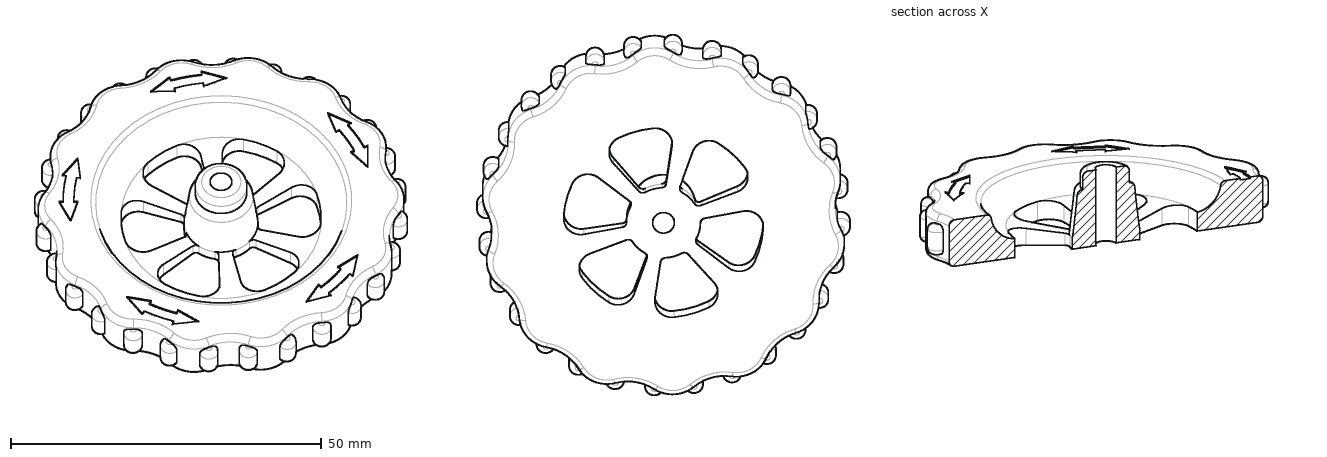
import cadquery as cq
import math

lobe_count = 14
lobe_pitch = 360 / lobe_count
lobe_peak_radius = 29.5
junction_radius = 28.6
rim_height = 8.0
rim_fillet = 1.0

pin_radius = 1.5
pin_circle_radius = 28.63
pin_height = 5.1
pin_fillet = 1.0

floor_inner_height = 2.0
floor_outer_height = 3.3
floor_outer_radius = 16.2
wall_top_radius = 20.25
wall_top_height = 7.3
lip_radius = 21.07

hub_base_radius = 5.97
hub_shoulder_radius = 5.15
hub_shoulder_height = 10.0
hub_shoulder_fillet = 1.0
neck_radius = 8.32 / 2
neck_fillet = 1.0
total_height = 13.0
bore_diameter = 3.5

spoke_count = 6
spoke_pitch = 360 / spoke_count
spoke_half_width_at_axis = 0.53
spoke_flare_angle = 5.3
window_inner_radius = hub_base_radius
window_outer_radius = 16.13
window_inner_fillet = 0.8
window_outer_fillet = 2.75

arrow_count = 5
arrow_first_angle = -90
arrow_radius = 24.6
arrow_tip_angle = 14.8
arrow_barb_angle = 5.8
arrow_barb_half_width = 1.5
arrow_shaft_half_width = 0.87
arrow_depth = 0.25


def polar(radius, angle):
    """Point at a radius and an angle in degrees about the wheel axis."""
    return (radius * math.cos(math.radians(angle)), radius * math.sin(math.radians(angle)))


def valley_radius():
    """Radius of the valley bottom that keeps valley arcs tangent to lobe arcs."""
    chord_distance, half_chord = polar(junction_radius, lobe_pitch / 4)
    lobe_half_sweep = 2 * math.atan2(lobe_peak_radius - chord_distance, half_chord)
    valley_half_sweep = lobe_half_sweep - math.radians(lobe_pitch / 2)
    return chord_distance - half_chord * math.tan(valley_half_sweep / 2)


def make_rim():
    valley = valley_radius()
    outline = cq.Workplane("XY").moveTo(*polar(junction_radius, -lobe_pitch / 4))
    for i in range(lobe_count):
        peak_angle = i * lobe_pitch
        outline = outline.threePointArc(
            polar(lobe_peak_radius, peak_angle),
            polar(junction_radius, peak_angle + lobe_pitch / 4),
        )
        outline = outline.threePointArc(
            polar(valley, peak_angle + lobe_pitch / 2),
            polar(junction_radius, peak_angle + 3 * lobe_pitch / 4),
        )
    blank = outline.close().extrude(rim_height)
    return blank.faces("<Z or >Z").edges().fillet(rim_fillet)


def make_dish_cutter():
    """Space above the floor, bounded by the cone, the curved wall and the lip."""
    slope = (floor_outer_height - floor_inner_height) / (floor_outer_radius - hub_base_radius)
    center_height = floor_inner_height - slope * hub_base_radius
    profile = (
        cq.Workplane("XZ")
        .moveTo(0, center_height)
        .lineTo(floor_outer_radius, floor_outer_height)
        .tangentArcPoint((wall_top_radius, wall_top_height), relative=False)
        .tangentArcPoint((lip_radius, rim_height), relative=False)
        .lineTo(lip_radius, total_height)
        .lineTo(0, total_height)
        .close()
    )
    return profile.revolve(360, (0, 0, 0), (0, 1, 0))


def make_hub():
    corner = math.sqrt(0.5)
    shoulder_start = hub_shoulder_height - hub_shoulder_fillet
    shoulder_center = hub_shoulder_radius - hub_shoulder_fillet
    neck_start = total_height - neck_fillet
    neck_center = neck_radius - neck_fillet
    profile = (
        cq.Workplane("XZ")
        .lineTo(hub_base_radius, 0)
        .lineTo(hub_base_radius, floor_inner_height)
        .lineTo(hub_shoulder_radius, shoulder_start)
        .threePointArc(
            (
                shoulder_center + hub_shoulder_fillet * corner,
                shoulder_start + hub_shoulder_fillet * corner,
            ),
            (shoulder_center, hub_shoulder_height),
        )
        .lineTo(neck_radius, hub_shoulder_height)
        .lineTo(neck_radius, neck_start)
        .threePointArc(
            (neck_center + neck_fillet * corner, neck_start + neck_fillet * corner),
            (neck_center, total_height),
        )
        .lineTo(0, total_height)
        .close()
    )
    return profile.revolve(360, (0, 0, 0), (0, 1, 0))


def make_window_cutter():
    """Rounded sector centred on the X axis, bounded by the flared spoke sides."""
    half_pitch = math.radians(spoke_pitch / 2)
    flare = math.radians(spoke_flare_angle)
    apex = spoke_half_width_at_axis / (math.sin(half_pitch) - math.cos(half_pitch) * math.tan(flare))
    far = 2 * window_outer_radius
    far_half_width = (far - apex) * math.tan(half_pitch - flare)
    wedge = (
        cq.Workplane("XY")
        .polyline([(apex, 0), (far, far_half_width), (far, -far_half_width)])
        .close()
        .extrude(rim_height)
    )
    ring = cq.Workplane("XY").circle(window_outer_radius).circle(window_inner_radius).extrude(rim_height)
    sector = wedge.intersect(ring)
    sector = sector.edges("|Z").edges(">X").fillet(window_outer_fillet)
    return sector.edges("|Z").edges("<X").fillet(window_inner_fillet)


def make_pin():
    pin = cq.Workplane("XY").circle(pin_radius).extrude(pin_height).edges().fillet(pin_fillet)
    return pin.translate((pin_circle_radius, 0, (rim_height - pin_height) / 2))


def make_arrow_cutter():
    shaft_inner = arrow_radius - arrow_shaft_half_width
    shaft_outer = arrow_radius + arrow_shaft_half_width
    barb_inner = arrow_radius - arrow_barb_half_width
    barb_outer = arrow_radius + arrow_barb_half_width
    outline = (
        cq.Workplane("XY", origin=(0, 0, rim_height - arrow_depth))
        .moveTo(*polar(arrow_radius, -arrow_tip_angle))
        .lineTo(*polar(barb_outer, -arrow_barb_angle))
        .lineTo(*polar(shaft_outer, -arrow_barb_angle))
        .threePointArc((shaft_outer, 0), polar(shaft_outer, arrow_barb_angle))
        .lineTo(*polar(barb_outer, arrow_barb_angle))
        .lineTo(*polar(arrow_radius, arrow_tip_angle))
        .lineTo(*polar(barb_inner, arrow_barb_angle))
        .lineTo(*polar(shaft_inner, arrow_barb_angle))
        .threePointArc((shaft_inner, 0), polar(shaft_inner, -arrow_barb_angle))
        .lineTo(*polar(barb_inner, -arrow_barb_angle))
        .close()
    )
    return outline.extrude(arrow_depth)


def around_axis(shape, count, first_angle):
    """Equally spaced copies of a shape about the wheel axis."""
    copies = cq.Workplane("XY")
    for i in range(count):
        copies = copies.add(shape.rotate((0, 0, 0), (0, 0, 1), first_angle + i * 360 / count))
    return copies.combine()


pin_count = 2 * lobe_count
wheel = make_rim().union(around_axis(make_pin(), pin_count, lobe_pitch / 4))
wheel = wheel.cut(make_dish_cutter()).union(make_hub())
wheel = wheel.cut(around_axis(make_window_cutter(), spoke_count, spoke_pitch / 2))
wheel = wheel.cut(around_axis(make_arrow_cutter(), arrow_count, arrow_first_angle))
bore = cq.Workplane("XY").circle(bore_diameter / 2).extrude(total_height)
result = wheel.cut(bore)